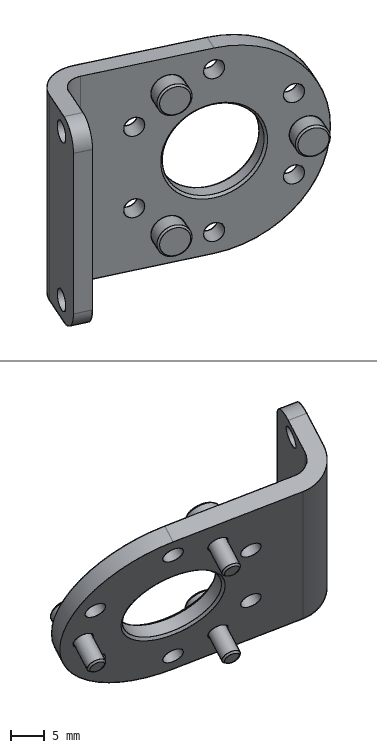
import cadquery as cq
import math


SHEET = 3.0
WIDTH = 36.6
BORE_TO_FLANGE = 27.0
FLANGE_LENGTH = 16.0
BEND_INNER_RADIUS = 3.0
BEND_OUTER_RADIUS = BEND_INNER_RADIUS + SHEET
PLATE_END_RADIUS = WIDTH / 2
FLANGE_CORNER_RADIUS = 4.0

BORE_DIAMETER = 16.0
BORE_CHAMFER = 0.4
BOLT_CIRCLE_RADIUS = 14.5
BOLT_HOLE_DIAMETER = 3.3
OPEN_HOLE_COUNT = 6
OPEN_HOLE_START_ANGLE = 30.0
FLANGE_HOLE_DIAMETER = 3.5
FLANGE_HOLE_X = 11.0
FLANGE_HOLE_SPACING = 30.0

SCREW_COUNT = 3
SCREW_START_ANGLE = 0.0
SCREW_DIAMETER = 3.0
SCREW_LENGTH = 8.0
SCREW_TIP_CHAMFER = 0.3
HEAD_DIAMETER = 5.5
HEAD_HEIGHT = 3.0
HEAD_TOP_CHAMFER = 0.3
HEAD_SEAT_CHAMFER = 0.1


def bolt_circle_points(count, start_angle):
    """(Y, Z) points evenly spread on the bolt circle, the first one start_angle degrees from +Y."""
    angles = [math.radians(start_angle + i * 360 / count) for i in range(count)]
    return [(BOLT_CIRCLE_RADIUS * math.cos(a), BOLT_CIRCLE_RADIUS * math.sin(a)) for a in angles]


SCREW_POINTS = bolt_circle_points(SCREW_COUNT, SCREW_START_ANGLE)


def make_bent_sheet():
    """L-shaped sheet with a rounded plate end and rounded flange corners."""
    flange_outer_y = -BORE_TO_FLANGE
    flange_inner_y = flange_outer_y + SHEET
    sheet = (
        cq.Workplane("XY")
        .workplane(offset=-WIDTH / 2)
        .moveTo(0, PLATE_END_RADIUS)
        .lineTo(0, flange_outer_y + BEND_OUTER_RADIUS)
        .radiusArc((BEND_OUTER_RADIUS, flange_outer_y), -BEND_OUTER_RADIUS)
        .lineTo(FLANGE_LENGTH, flange_outer_y)
        .lineTo(FLANGE_LENGTH, flange_inner_y)
        .lineTo(BEND_OUTER_RADIUS, flange_inner_y)
        .radiusArc((SHEET, flange_outer_y + BEND_OUTER_RADIUS), BEND_INNER_RADIUS)
        .lineTo(SHEET, PLATE_END_RADIUS)
        .close()
        .extrude(WIDTH)
    )
    sheet = sheet.edges("|Y and >X").fillet(FLANGE_CORNER_RADIUS)

    plate_outline = (
        cq.Workplane("YZ")
        .moveTo(flange_outer_y, -WIDTH / 2)
        .lineTo(0, -WIDTH / 2)
        .threePointArc((PLATE_END_RADIUS, 0), (0, WIDTH / 2))
        .lineTo(flange_outer_y, WIDTH / 2)
        .close()
        .extrude(FLANGE_LENGTH)
    )
    return sheet.intersect(plate_outline)


def make_bore():
    """Cutter for the central bore, flared by a chamfer at both faces of the plate."""
    bore_radius = BORE_DIAMETER / 2
    mouth_radius = bore_radius + BORE_CHAMFER
    half_section = [
        (0, 0),
        (0, mouth_radius),
        (BORE_CHAMFER, bore_radius),
        (SHEET - BORE_CHAMFER, bore_radius),
        (SHEET, mouth_radius),
        (SHEET, 0),
    ]
    return cq.Workplane("XY").polyline(half_section).close().revolve(360, (0, 0, 0), (1, 0, 0))


def make_bracket():
    bolt_points = SCREW_POINTS + bolt_circle_points(OPEN_HOLE_COUNT, OPEN_HOLE_START_ANGLE)
    bolt_holes = (
        cq.Workplane("YZ")
        .pushPoints(bolt_points)
        .circle(BOLT_HOLE_DIAMETER / 2)
        .extrude(SHEET)
    )
    flange_holes = (
        cq.Workplane("XZ", origin=(0, -BORE_TO_FLANGE, 0))
        .pushPoints([(FLANGE_HOLE_X, side * FLANGE_HOLE_SPACING / 2) for side in (-1, 1)])
        .circle(FLANGE_HOLE_DIAMETER / 2)
        .extrude(-SHEET)
    )
    return make_bent_sheet().cut(make_bore()).cut(bolt_holes).cut(flange_holes)


def make_screw(y, z):
    """Cap screw pointing to -X with its axis at (y, z)."""
    seat = cq.Workplane("YZ", origin=(SHEET, y, z))
    shank = (
        seat.circle(SCREW_DIAMETER / 2)
        .extrude(-SCREW_LENGTH)
        .faces("<X")
        .chamfer(SCREW_TIP_CHAMFER)
    )
    head = (
        seat.circle(HEAD_DIAMETER / 2)
        .extrude(HEAD_HEIGHT)
        .faces(">X")
        .chamfer(HEAD_TOP_CHAMFER)
        .faces("<X")
        .chamfer(HEAD_SEAT_CHAMFER)
    )
    return shank.union(head)


bracket = make_bracket()
screws = [make_screw(y, z) for y, z in SCREW_POINTS]

result = cq.Compound.makeCompound([bracket.val(), *[screw.val() for screw in screws]])